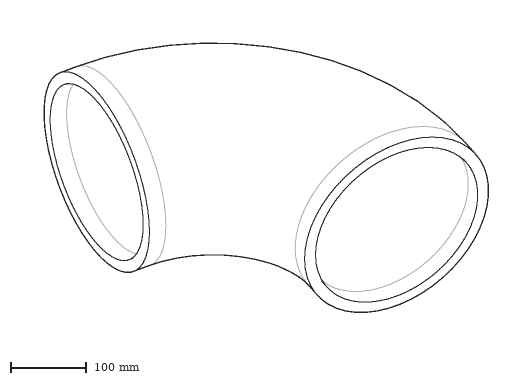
import cadquery as cq

outer_diameter = 280.0
bore_diameter = 246.8
overall_length = 430.0
collar_length = 25.0

face_distance = overall_length - outer_diameter / 2
bend_radius = face_distance - collar_length


def centre_line():
    """Path from the -Y end face, around the quarter bend, to the +X end face."""
    start_of_bend = (0, -bend_radius)
    end_of_bend = (bend_radius, 0)
    return (
        cq.Workplane("XY")
        .moveTo(0, -face_distance)
        .lineTo(*start_of_bend)
        .tangentArcPoint(end_of_bend, relative=False)
        .lineTo(face_distance, 0)
    )


def swept_rod(diameter):
    """Solid round bar that follows the centre line."""
    return (
        cq.Workplane("XZ", origin=(0, -face_distance, 0))
        .circle(diameter / 2)
        .sweep(centre_line())
    )


result = swept_rod(outer_diameter).cut(swept_rod(bore_diameter))